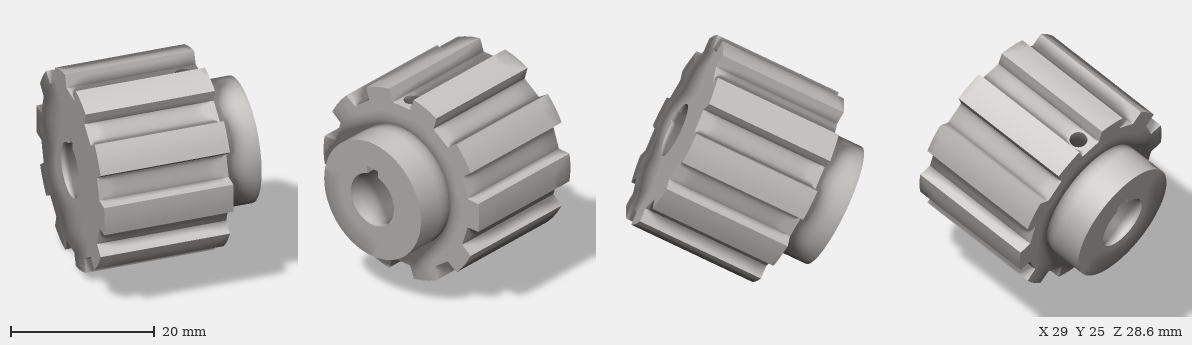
import cadquery as cq
import math

outer_diameter = 29.0
body_length = 19.0
total_length = 25.0
hub_diameter = 18.05

tooth_count = 10
groove_floor_radius = 12.45
groove_floor_width = 3.3
groove_mouth_width = 4.65

bore_diameter = 8.0
keyway_width = 2.0
keyway_top = 4.93

screw_hole_diameter = 2.5
screw_hole_inset = 2.32

outer_radius = outer_diameter / 2


def cylinder_along_y(diameter, length):
    return cq.Workplane("XZ").circle(diameter / 2).extrude(-length)


def groove(angle):
    """Cutter for one groove, turned about the Y axis from the +Z position."""
    floor_half = groove_floor_width / 2
    mouth_half = groove_mouth_width / 2
    mouth_radius = math.sqrt(outer_radius**2 - mouth_half**2)
    flank_slope = (mouth_half - floor_half) / (mouth_radius - groove_floor_radius)
    cutter_top = outer_radius + 0.3
    top_half = floor_half + flank_slope * (cutter_top - groove_floor_radius)
    return (
        cq.Workplane("XZ")
        .polyline([
            (-floor_half, groove_floor_radius),
            (floor_half, groove_floor_radius),
            (top_half, cutter_top),
            (-top_half, cutter_top),
        ])
        .close()
        .extrude(-body_length)
        .rotate((0, 0, 0), (0, 1, 0), angle)
    )


body = cylinder_along_y(outer_diameter, body_length)
for index in range(tooth_count):
    body = body.cut(groove(index * 360 / tooth_count))

body = body.union(cylinder_along_y(hub_diameter, total_length))

bore = cylinder_along_y(bore_diameter, total_length)
keyway = cq.Workplane("XY").box(
    keyway_width, total_length, keyway_top, centered=(True, False, False)
)

screw_hole = (
    cq.Workplane("XY")
    .center(0, body_length - screw_hole_inset)
    .circle(screw_hole_diameter / 2)
    .extrude(outer_radius)
)

result = body.cut(bore).cut(keyway).cut(screw_hole)